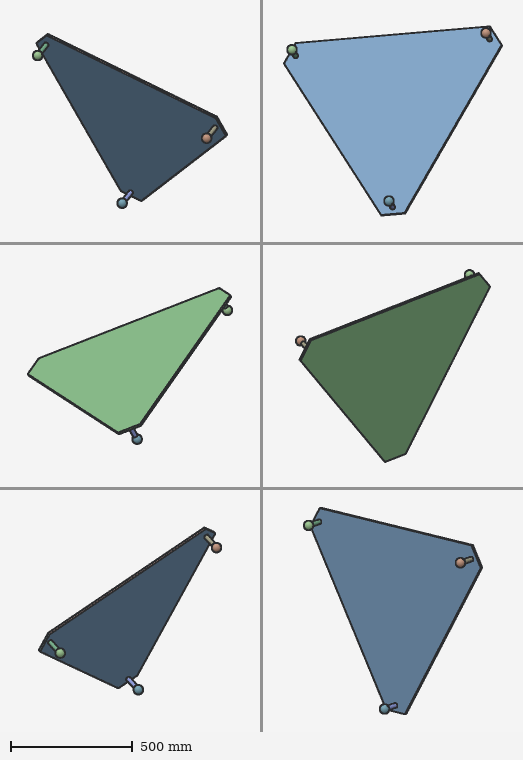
import cadquery as cq
import math

overall_width = 916.0
overall_depth = 100.0
corner_edge = 100.0
plate_thickness = 10.0
ball_diameter = 40.0
stem_diameter = 20.0

long_edge = overall_width - corner_edge
full_triangle_side = long_edge + 2 * corner_edge
plate_inradius = full_triangle_side / (2 * math.sqrt(3))
ball_center_depth = overall_depth - ball_diameter / 2

knob_circle_radius = long_edge / math.sqrt(3)
knob_angles = (30, 150, 270)


def make_plate():
    """Flat plate from Y = 0 back to Y = plate_thickness, one long edge up."""
    half_width = overall_width / 2
    top = plate_inradius
    shoulder = top - corner_edge * math.sqrt(3) / 2
    bottom = top - overall_width * math.sqrt(3) / 2
    outline = [
        (-long_edge / 2, top),
        (long_edge / 2, top),
        (half_width, shoulder),
        (corner_edge / 2, bottom),
        (-corner_edge / 2, bottom),
        (-half_width, shoulder),
    ]
    return cq.Workplane("XZ").polyline(outline).close().extrude(-plate_thickness)


def make_knob(x, z):
    """Round stem on the front face of the plate, ending in a ball."""
    stem_length = ball_center_depth - plate_thickness
    stem = cq.Workplane("XZ").center(x, z).circle(stem_diameter / 2).extrude(stem_length)
    ball = cq.Workplane("XY").sphere(ball_diameter / 2).translate((x, -stem_length, z))
    return stem.union(ball)


result = make_plate()
for angle in knob_angles:
    knob_x = knob_circle_radius * math.cos(math.radians(angle))
    knob_z = knob_circle_radius * math.sin(math.radians(angle))
    result = result.union(make_knob(knob_x, knob_z))